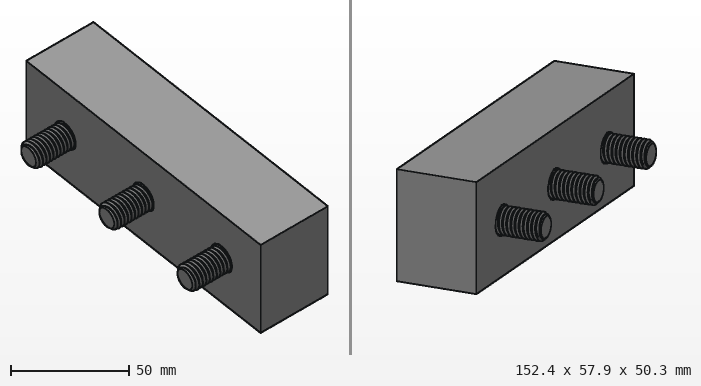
import cadquery as cq
import math

BLOCK_LENGTH = 152.4
BLOCK_DEPTH = 37.5
BLOCK_HEIGHT = 50.3
FRONT_Y = -BLOCK_DEPTH / 2

STUD_COUNT = 3
STUD_SPACING = BLOCK_LENGTH / STUD_COUNT
STUD_PROJECTION = 20.4
MAJOR_RADIUS = 6.4
MINOR_RADIUS = 5.2
TIP_RADIUS = 4.9
HOLE_RADIUS = 6.9
HOLE_DEPTH = 2 * MAJOR_RADIUS
STUD_LENGTH = STUD_PROJECTION + HOLE_DEPTH
STUD_POSITIONS = [(i - (STUD_COUNT - 1) / 2) * STUD_SPACING for i in range(STUD_COUNT)]

PROJECTING_TURNS = 10.5
THREAD_PITCH = STUD_PROJECTION / PROJECTING_TURNS
CREST_WIDTH = THREAD_PITCH / 8
FLANK_ANGLE = 30.0
CREST_CLEARANCE = 0.2
ROOT_OVERLAP = 0.08
OVERRUN = THREAD_PITCH
THREAD_START_ANGLE = 90.0


def make_block():
    """Plain block with a row of blind holes in its -Y face."""
    block = cq.Workplane("XY").box(BLOCK_LENGTH, BLOCK_DEPTH, BLOCK_HEIGHT)
    return (
        block.faces("<Y")
        .workplane()
        .pushPoints([(x, 0) for x in STUD_POSITIONS])
        .hole(2 * HOLE_RADIUS, HOLE_DEPTH)
    )


def make_thread_ridge():
    """Helical ridge around Z, overrunning both ends of the stud."""
    root_radius = MINOR_RADIUS - ROOT_OVERLAP
    half_crest = CREST_WIDTH / 2
    half_root = half_crest + (MAJOR_RADIUS - root_radius) * math.tan(math.radians(FLANK_ANGLE))
    helix = cq.Wire.makeHelix(THREAD_PITCH, STUD_LENGTH + 2 * OVERRUN, root_radius)
    return (
        cq.Workplane("XZ")
        .polyline([
            (root_radius, -half_root),
            (MAJOR_RADIUS, -half_crest),
            (MAJOR_RADIUS, half_crest),
            (root_radius, half_root),
        ])
        .close()
        .sweep(cq.Workplane(obj=helix), isFrenet=True)
        .translate((0, 0, -OVERRUN))
    )


def make_core():
    """Root cylinder along Z, long enough to carry the whole ridge."""
    end_margin = 2 * OVERRUN
    return (
        cq.Workplane("XY")
        .workplane(offset=-end_margin)
        .circle(MINOR_RADIUS)
        .extrude(STUD_LENGTH + 2 * end_margin)
    )


def make_envelope():
    """Cylinder along Z with a 45 degree chamfered tip, bounding the stud."""
    envelope_radius = MAJOR_RADIUS + CREST_CLEARANCE
    return (
        cq.Workplane("XY")
        .circle(envelope_radius)
        .extrude(STUD_LENGTH)
        .faces(">Z")
        .chamfer(envelope_radius - TIP_RADIUS)
    )


def make_stud():
    """Stud on the floor of the middle hole, with its tip pointing to -Y."""
    return (
        make_core()
        .union(make_thread_ridge())
        .intersect(make_envelope())
        .rotate((0, 0, 0), (0, 0, 1), THREAD_START_ANGLE)
        .rotate((0, 0, 0), (1, 0, 0), 90)
        .translate((0, FRONT_Y + HOLE_DEPTH, 0))
    )


block = make_block()
stud = make_stud()
studs = [stud.translate((x, 0, 0)) for x in STUD_POSITIONS]

result = cq.Compound.makeCompound([block.val(), *[copy.val() for copy in studs]])